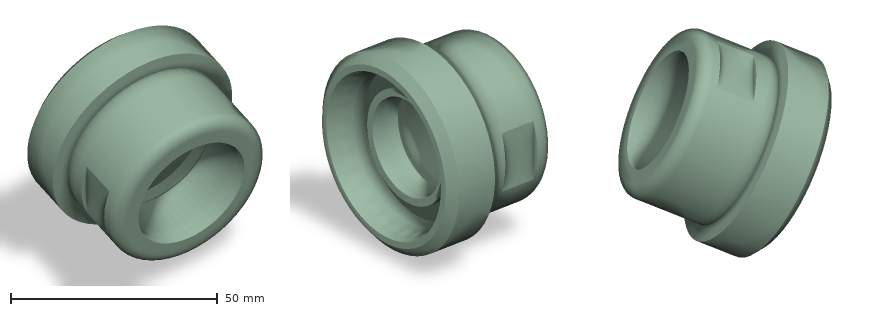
import cadquery as cq
import math

length = 35.0
flange_radius = 26.0
body_radius = 22.0
mouth_chamfer_length = 2.25
mouth_face_radius = 23.45
flange_end = 13.4
shoulder_end = 14.0
end_fillet = 3.0

seat_radius = 39.8 / 2
seat_cone_length = 7.0
mouth_radius = 21.75
seat_depth = 10.5
sleeve_radius = 30.0 / 2
sleeve_start = 7.2

bore_radius = 13.0
bore_end = 15.2
relief_radius = 33.25 / 2
relief_length = 3.05
port_radius = 15.35
relief_taper_length = relief_radius - port_radius

flat_start = 20.0
flat_length = 10.0
flat_distance = 20.5


def revolve_about_x(sketch):
    return sketch.close().revolve(360, (0, 0, 0), (1, 0, 0))


def make_body():
    """Flange with a chamfered mouth, sloped shoulder and round-edged barrel."""
    fillet_start = length - end_fillet
    fillet_mid = end_fillet * math.sqrt(0.5)
    return revolve_about_x(
        cq.Workplane("XY")
        .lineTo(0, mouth_face_radius)
        .lineTo(mouth_chamfer_length, flange_radius)
        .lineTo(flange_end, flange_radius)
        .lineTo(shoulder_end, body_radius)
        .lineTo(fillet_start, body_radius)
        .threePointArc(
            (fillet_start + fillet_mid, body_radius - end_fillet + fillet_mid),
            (length, body_radius - end_fillet),
        )
        .lineTo(length, 0)
    )


def make_cavity():
    """Seat around the sleeve, bore, relief and port as one hollow."""
    relief_end = bore_end + relief_length
    return revolve_about_x(
        cq.Workplane("XY")
        .lineTo(0, mouth_radius)
        .lineTo(seat_cone_length, seat_radius)
        .lineTo(seat_depth, seat_radius)
        .lineTo(seat_depth, sleeve_radius)
        .lineTo(sleeve_start, sleeve_radius)
        .lineTo(sleeve_start, bore_radius)
        .lineTo(bore_end, bore_radius)
        .lineTo(bore_end, relief_radius)
        .lineTo(relief_end, relief_radius)
        .lineTo(relief_end + relief_taper_length, port_radius)
        .lineTo(length, port_radius)
        .lineTo(length, 0)
    )


def make_flat_cutter(side):
    """Block that mills one flat; side is -1 or +1 along Y."""
    depth = flange_radius - flat_distance
    return cq.Workplane("XY").box(flat_length, depth, 2 * flange_radius).translate(
        (flat_start + flat_length / 2, side * (flat_distance + depth / 2), 0)
    )


result = make_body().cut(make_cavity())
for side in (-1, 1):
    result = result.cut(make_flat_cutter(side))